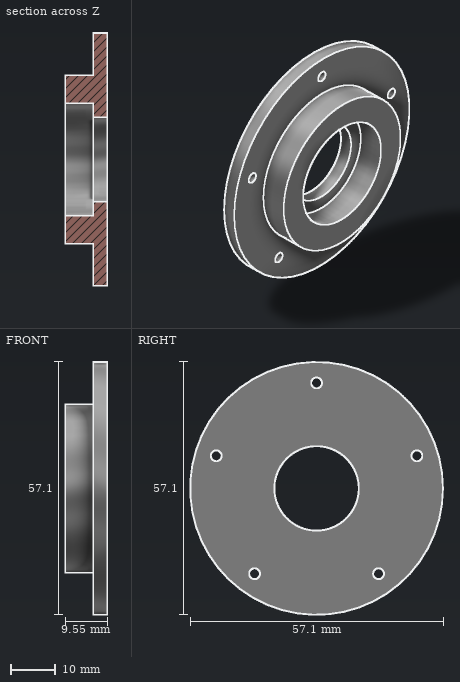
import cadquery as cq

flange_diameter = 57.15
total_length = 9.55
hub_length = 6.35
hub_diameter = 38.1

bore_diameter = 19.05
counterbore_diameter = 25.4
counterbore_depth = hub_length

bolt_hole_count = 5
bolt_hole_diameter = 2.4
bolt_circle_radius = (flange_diameter + hub_diameter) / 4


def cylinder(diameter, start, length):
    """Cylinder about the X axis, running in +X from the given start."""
    return cq.Workplane("YZ", origin=(start, 0, 0)).circle(diameter / 2).extrude(length)


hub = cylinder(hub_diameter, 0, total_length)
flange = cylinder(flange_diameter, hub_length, total_length - hub_length)
bore = cylinder(bore_diameter, 0, total_length)
counterbore = cylinder(counterbore_diameter, 0, counterbore_depth)

bolt_holes = (
    cq.Workplane("YZ")
    .polarArray(bolt_circle_radius, 90, 360, bolt_hole_count)
    .circle(bolt_hole_diameter / 2)
    .extrude(total_length)
)

result = hub.union(flange).cut(bore).cut(counterbore).cut(bolt_holes)